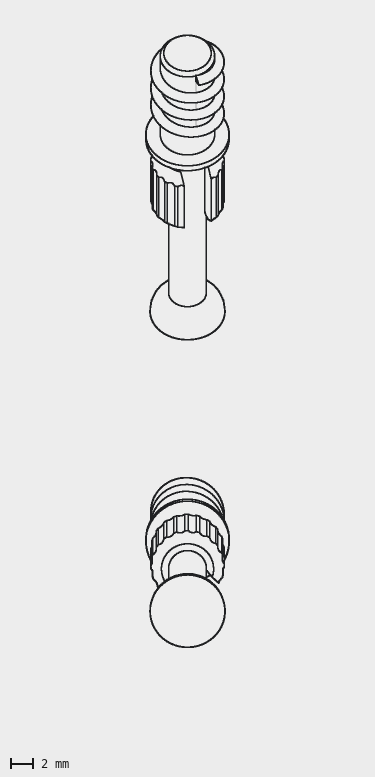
import cadquery as cq

pin_height = 35.0
shank_radius = 2.4
tip_radius = 2.1
tip_chamfer_height = 0.42
collar_radius = 3.692
collar_bottom = 23.35
collar_top = 24.0
rod_radius = 1.68
head_radius = 3.32
head_mid_radius = 2.75
head_mid_height = 1.75
head_height = 2.6

thread_pitch = 2.3
thread_turns = 3.375
thread_top = 34.23
thread_crest_radius = 3.25
thread_root_half_height = 0.4
thread_embed = 0.18

sleeve_bottom = 14.15
sleeve_top = 21.5
sleeve_radius = 3.25
sleeve_end_radius = 2.3
sleeve_chamfer = sleeve_radius - sleeve_end_radius
slot_half_width = 1.25
groove_count = 20
groove_depth = 0.122
groove_cutter_radius = 0.65


def make_pin_core():
    """Revolve the head, rod, collar and shank about Z."""
    return (
        cq.Workplane("XZ")
        .moveTo(0, 0)
        .lineTo(head_radius, 0)
        .threePointArc((head_mid_radius, head_mid_height), (rod_radius, head_height))
        .lineTo(rod_radius, collar_bottom)
        .lineTo(collar_radius, collar_bottom)
        .lineTo(collar_radius, collar_top)
        .lineTo(shank_radius, collar_top)
        .lineTo(shank_radius, pin_height - tip_chamfer_height)
        .lineTo(tip_radius, pin_height)
        .lineTo(0, pin_height)
        .close()
        .revolve(360, (0, 0, 0), (0, 1, 0))
    )


def make_thread():
    """Sweep a sharp triangular section along a left-hand helix."""
    thread_height = thread_pitch * thread_turns
    inner_radius = shank_radius - thread_embed
    flank_slope = thread_root_half_height / (thread_crest_radius - shank_radius)
    inner_half_height = flank_slope * (thread_crest_radius - inner_radius)
    helix = cq.Wire.makeHelix(thread_pitch, thread_height, shank_radius, lefthand=True)
    thread = (
        cq.Workplane("XZ")
        .moveTo(inner_radius, -inner_half_height)
        .lineTo(thread_crest_radius, 0)
        .lineTo(inner_radius, inner_half_height)
        .close()
        .sweep(cq.Workplane(obj=helix), isFrenet=True)
    )
    lower_end_angle = 360 * (thread_turns % 1)
    return (
        thread.rotate((0, 0, 0), (0, 0, 1), lower_end_angle)
        .translate((0, 0, thread_top - thread_height))
    )


def make_pin():
    return make_pin_core().union(make_thread())


def make_sleeve():
    """Chamfered sleeve with scalloped grooves and an open slot toward +X."""
    sleeve_height = sleeve_top - sleeve_bottom
    base = cq.Workplane("XY").workplane(offset=sleeve_bottom)
    sleeve = base.circle(sleeve_radius).extrude(sleeve_height).edges().chamfer(sleeve_chamfer)

    cutter_distance = sleeve_radius - groove_depth + groove_cutter_radius
    groove_step = 360 / groove_count
    grooves = (
        base.polarArray(cutter_distance, groove_step / 2, 360, groove_count)
        .circle(groove_cutter_radius)
        .extrude(sleeve_height)
    )
    bore = base.circle(rod_radius).extrude(sleeve_height)
    slot = (
        base.center(sleeve_radius / 2, 0)
        .rect(sleeve_radius, 2 * slot_half_width)
        .extrude(sleeve_height)
    )
    return sleeve.cut(grooves).cut(bore).cut(slot)


pin = make_pin()
sleeve = make_sleeve()
result = cq.Compound.makeCompound([pin.solids().val(), sleeve.solids().val()])